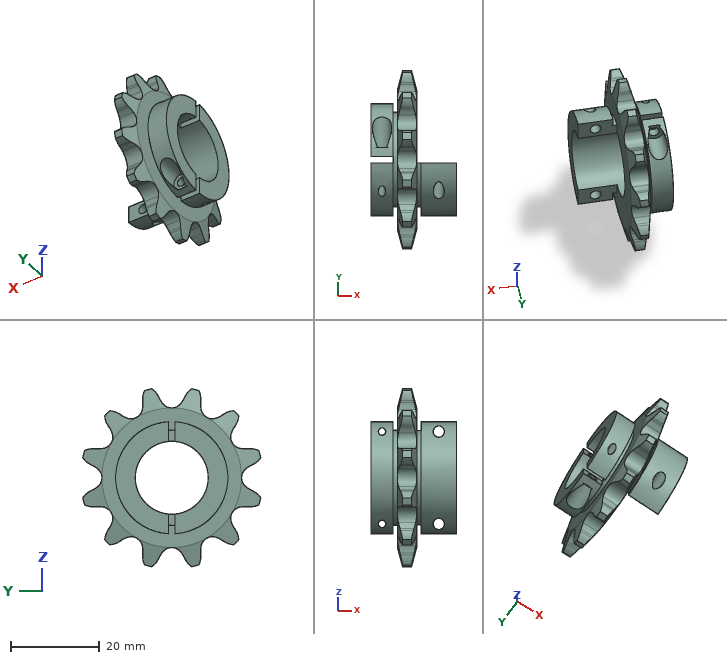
import cadquery as cq
import math


TEETH = 12
PITCH_DIAMETER = 36.8
ROLLER_DIAMETER = 5.08
SEATING_CLEARANCE = 0.075
TIP_DIAMETER = 41.3
TIP_RADIUS = TIP_DIAMETER / 2
FLAT_FACE_RADIUS = 15.8
DISC_WIDTH = 4.4
TIP_WIDTH = 1.97

BORE_RADIUS = 8.2
HUB_RADIUS = 12.7
NECK_RADIUS = 10.75
NECK_LENGTH = 0.95
CLAMP_HUB_LENGTH = 5.0
HALF_HUB_LENGTH = 8.0
SLOT_WIDTH = 1.45

SCREW_OFFSET = 10.45
CLAMP_THREAD_DIAMETER = 1.6
CLAMP_CLEARANCE_DIAMETER = 2.4
HALF_HUB_SCREW_DIAMETER = 2.5
COUNTERBORE_DIAMETER = 4.35
COUNTERBORE_FLOOR = 2.75

CLAMP_HUB_END = CLAMP_HUB_LENGTH
DISC_START = CLAMP_HUB_END + NECK_LENGTH
DISC_END = DISC_START + DISC_WIDTH
HALF_HUB_START = DISC_END + NECK_LENGTH
TOTAL_LENGTH = HALF_HUB_START + HALF_HUB_LENGTH
CUT_SIZE = 3 * TIP_RADIUS


def cylinder(radius, start, end):
    """Solid cylinder on the X axis between two stations."""
    return cq.Workplane("YZ", origin=(start, 0, 0)).circle(radius).extrude(end - start)


def polar(center, radius, degrees):
    """Point at an angle on a circle."""
    angle = math.radians(degrees)
    return (center[0] + radius * math.cos(angle), center[1] + radius * math.sin(angle))


def turned(point, degrees):
    """Point rotated about the sprocket axis."""
    angle = math.radians(degrees)
    y, z = point
    return (
        y * math.cos(angle) - z * math.sin(angle),
        y * math.sin(angle) + z * math.cos(angle),
    )


def flank_points():
    """Points on the +Y flank of the tooth gap at the top, from the gap floor to the tip.

    The ANSI tooth form: roller seat arc, working arc, short straight, topping arc.
    """
    seat_radius = (ROLLER_DIAMETER + SEATING_CLEARANCE) / 2
    seat_center = (0, PITCH_DIAMETER / 2)
    seat_angle = 35 + 60 / TEETH
    working_angle = 18 - 56 / TEETH
    straight_angle = seat_angle - working_angle
    center_shift = 0.8 * ROLLER_DIAMETER
    working_radius = seat_radius + center_shift

    floor = polar(seat_center, seat_radius, -90)
    seat_middle = polar(seat_center, seat_radius, -(90 + seat_angle) / 2)
    seat_end = polar(seat_center, seat_radius, -seat_angle)
    working_center = polar(seat_center, center_shift, 180 - seat_angle)
    working_middle = polar(working_center, working_radius, working_angle / 2 - seat_angle)
    working_end = polar(working_center, working_radius, -straight_angle)

    topping_center = polar(seat_center, 1.4 * ROLLER_DIAMETER, -180 / TEETH)
    span_y = working_end[0] - topping_center[0]
    span_z = working_end[1] - topping_center[1]
    direction = math.radians(180 - straight_angle)
    topping_radius = span_y * math.cos(direction) + span_z * math.sin(direction)
    topping_start = polar(topping_center, topping_radius, 180 - straight_angle)

    center_distance = math.hypot(*topping_center)
    center_angle = math.degrees(math.atan2(topping_center[1], topping_center[0]))
    cosine = (TIP_RADIUS**2 + center_distance**2 - topping_radius**2) / (
        2 * TIP_RADIUS * center_distance
    )
    tip = polar((0, 0), TIP_RADIUS, center_angle + math.degrees(math.acos(cosine)))
    tip_angle = math.degrees(math.atan2(tip[1] - topping_center[1], tip[0] - topping_center[0]))
    topping_middle = polar(topping_center, topping_radius, (tip_angle + 180 - straight_angle) / 2)
    return [
        floor, seat_middle, seat_end, working_middle, working_end,
        topping_start, topping_middle, tip,
    ]


def tooth_outline():
    """Closed outline of the toothed disc in the YZ plane."""
    rising = flank_points()
    falling = [(-y, z) for y, z in reversed(rising)]
    step = -360 / TEETH
    outline = cq.Workplane("YZ", origin=(DISC_START, 0, 0)).moveTo(*rising[0])
    for index in range(TEETH):
        up = [turned(point, index * step) for point in rising]
        down = [turned(point, (index + 1) * step) for point in falling]
        tip_middle = turned((0, TIP_RADIUS), (index + 0.5) * step)
        outline = (
            outline.threePointArc(up[1], up[2])
            .threePointArc(up[3], up[4])
            .lineTo(*up[5])
            .threePointArc(up[6], up[7])
            .threePointArc(tip_middle, down[0])
            .threePointArc(down[1], down[2])
            .lineTo(*down[3])
            .threePointArc(down[4], down[5])
            .threePointArc(down[6], down[7])
        )
    return outline.close()


def sprocket_disc():
    """Toothed disc, thinned towards the tips by a cone on each side."""
    taper = (DISC_WIDTH - TIP_WIDTH) / 2
    blank = (
        cq.Workplane("XY")
        .moveTo(DISC_START, 0)
        .lineTo(DISC_START, FLAT_FACE_RADIUS)
        .lineTo(DISC_START + taper, TIP_RADIUS)
        .lineTo(DISC_END - taper, TIP_RADIUS)
        .lineTo(DISC_END, FLAT_FACE_RADIUS)
        .lineTo(DISC_END, 0)
        .close()
        .revolve(360, (0, 0, 0), (1, 0, 0))
    )
    return blank.intersect(tooth_outline().extrude(DISC_WIDTH))


def screw_cut(diameter, x, start, end):
    """Pair of cylinders parallel to Y, above and below the bore, from start to end in Y."""
    return (
        cq.Workplane("XZ", origin=(x, start, 0))
        .pushPoints([(0, SCREW_OFFSET), (0, -SCREW_OFFSET)])
        .circle(diameter / 2)
        .extrude(start - end)
    )


def clamp_hub():
    """Hub split by a slot in the XZ plane, with screw holes threaded in -Y and counterbored in +Y."""
    screw_x = CLAMP_HUB_LENGTH / 2
    slot = cq.Workplane("XY").box(2 * CLAMP_HUB_END, SLOT_WIDTH, CUT_SIZE)
    hub = cylinder(HUB_RADIUS, 0, CLAMP_HUB_END).cut(slot)
    hub = hub.cut(screw_cut(CLAMP_THREAD_DIAMETER, screw_x, -HUB_RADIUS, 0))
    hub = hub.cut(screw_cut(CLAMP_CLEARANCE_DIAMETER, screw_x, 0, HUB_RADIUS))
    hub = hub.cut(screw_cut(COUNTERBORE_DIAMETER, screw_x, COUNTERBORE_FLOOR, HUB_RADIUS))
    return hub.union(cylinder(NECK_RADIUS, CLAMP_HUB_END, DISC_START))


def half_hub():
    """Neck and hub that remain only on the -Y side of the slot."""
    screw_x = HALF_HUB_START + HALF_HUB_LENGTH / 2
    removed = cq.Workplane("XY", origin=(DISC_END, -SLOT_WIDTH / 2, 0)).box(
        CUT_SIZE, CUT_SIZE, CUT_SIZE, centered=(False, False, True)
    )
    hub = cylinder(NECK_RADIUS, DISC_END, HALF_HUB_START)
    hub = hub.union(cylinder(HUB_RADIUS, HALF_HUB_START, TOTAL_LENGTH)).cut(removed)
    return hub.cut(screw_cut(HALF_HUB_SCREW_DIAMETER, screw_x, -HUB_RADIUS, HUB_RADIUS))


bore = cylinder(BORE_RADIUS, 0, TOTAL_LENGTH)
result = sprocket_disc().union(clamp_hub()).union(half_hub()).cut(bore)